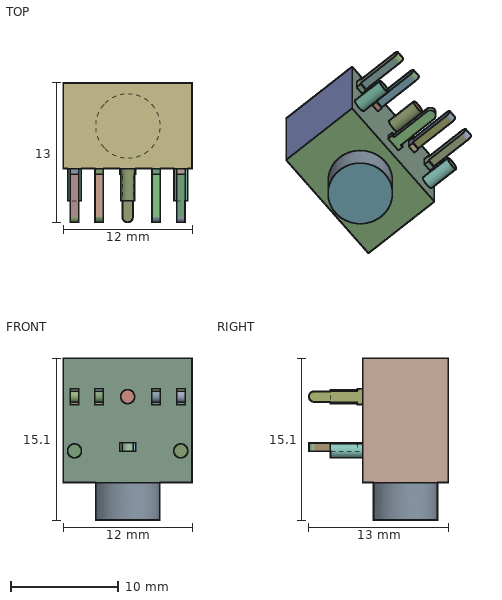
import cadquery as cq

body_width = 12.0
body_depth = 8.0
body_height = 11.6

barrel_diameter = 6.0
barrel_length = 3.5

peg_diameter = 1.3
peg_length = 3.0

pin_length = 5.0
pin_thickness = 0.8
pin_blade_width = 1.0
pin_shoulder_width = 1.5
pin_shoulder_length = 0.5

outer_x = 4.95
inner_x = 2.65
upper_row_z = 8.0
lower_peg_z = 2.95
center_pin_z = 3.3

upper_pin_x = (-outer_x, -inner_x, inner_x, outer_x)
peg_positions = ((0, upper_row_z), (-outer_x, lower_peg_z), (outer_x, lower_peg_z))

face_y = -body_depth


def make_body():
    return cq.Workplane("XY", origin=(0, face_y, 0)).box(
        body_width, body_depth, body_height, centered=(True, False, False)
    )


def make_barrel():
    return (
        cq.Workplane("XY")
        .center(0, face_y / 2)
        .circle(barrel_diameter / 2)
        .extrude(-barrel_length)
    )


def make_peg(x, z):
    return (
        cq.Workplane("XZ", origin=(x, face_y, z))
        .circle(peg_diameter / 2)
        .extrude(peg_length)
    )


def make_pin():
    """Solder pin with its root at the origin, pointing to -Y and lying flat in XY."""
    half_shoulder = pin_shoulder_width / 2
    half_blade = pin_blade_width / 2
    arc_start_y = half_blade - pin_length
    return (
        cq.Workplane("XY")
        .moveTo(-half_shoulder, 0)
        .lineTo(-half_shoulder, -pin_shoulder_length)
        .lineTo(-half_blade, -pin_shoulder_length)
        .lineTo(-half_blade, arc_start_y)
        .threePointArc((0, -pin_length), (half_blade, arc_start_y))
        .lineTo(half_blade, -pin_shoulder_length)
        .lineTo(half_shoulder, -pin_shoulder_length)
        .lineTo(half_shoulder, 0)
        .close()
        .extrude(pin_thickness / 2, both=True)
    )


result = make_body().union(make_barrel())

for x, z in peg_positions:
    result = result.union(make_peg(x, z))

flat_pin = make_pin()
upright_pin = flat_pin.rotate((0, 0, 0), (0, 1, 0), -90)
for x in upper_pin_x:
    result = result.union(upright_pin.translate((x, face_y, upper_row_z)))
result = result.union(flat_pin.translate((0, face_y, center_pin_z)))